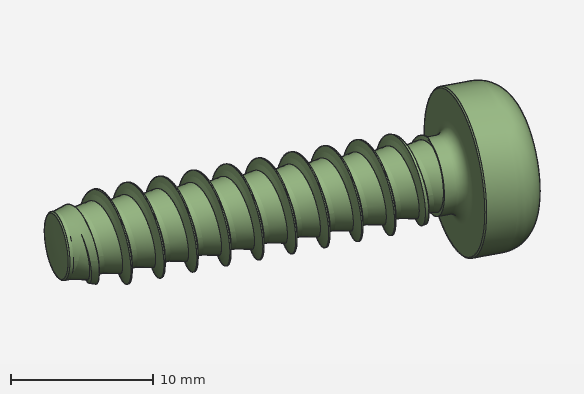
import cadquery as cq

overall_length = 34.9
head_diameter = 12.3
head_height = 4.9
head_round = 2.45
head_edge_chamfer = 0.1

shank_radius = 2.83
shank_length = 1.8
neck_fillet = 0.87

core_radius = 2.48
tip_chamfer = 0.1
tip_cone_height = 0.07

pitch = 2.48
crest_radius = 3.54
crest_half_width = 0.052
flank_break_radius = 3.1
flank_break_half_width = 0.2
head_side_foot = 0.45
tip_side_foot = 0.4
shoulder_radius = 2.72
shoulder_run = 1.25
root_embed = 0.1
turn_gap = 0.07

envelope_radius = 3.7
first_crest_depth = 1.5
run_in_radius = 3.0
run_in_end = 5.25
run_out_start = 25.8
run_out_end = 29.55
lead_in_turns = 1
thread_turns = 13

head_radius = head_diameter / 2
tip_depth = overall_length - head_height
tip_edge_depth = tip_depth - tip_cone_height


def revolve_about_axis(profile):
    return profile.close().revolve(360, (0, 0, 0), (0, 1, 0))


def make_blank():
    """Head, neck fillet, shank, plain core and tip as one revolved outline."""
    half_root = 0.5 ** 0.5
    round_x = head_radius - head_round * (1 - half_root)
    round_y = head_height - head_round * (1 - half_root)
    fillet_x = shank_radius + neck_fillet * (1 - half_root)
    fillet_y = -neck_fillet * (1 - half_root)
    outline = (
        cq.Workplane("XY")
        .moveTo(0, head_height)
        .lineTo(head_radius - head_round, head_height)
        .threePointArc((round_x, round_y), (head_radius, head_height - head_round))
        .lineTo(head_radius, head_edge_chamfer)
        .lineTo(head_radius - head_edge_chamfer, 0)
        .lineTo(shank_radius + neck_fillet, 0)
        .threePointArc((fillet_x, fillet_y), (shank_radius, -neck_fillet))
        .lineTo(shank_radius, -shank_length)
        .lineTo(core_radius, -shank_length)
        .lineTo(core_radius, -tip_edge_depth + tip_chamfer)
        .lineTo(core_radius - tip_chamfer, -tip_edge_depth)
        .lineTo(0, -tip_depth)
    )
    return revolve_about_axis(outline)


def make_ridge():
    """Thread ridge, with the tapered root behind it, swept along a right-hand helix."""
    embed_radius = core_radius - root_embed
    root_slope = (shoulder_radius - core_radius) / shoulder_run
    root_end = pitch - head_side_foot - turn_gap
    root_end_radius = shoulder_radius - root_slope * (root_end - tip_side_foot)
    section = [
        (embed_radius, -head_side_foot),
        (flank_break_radius, -flank_break_half_width),
        (crest_radius, -crest_half_width),
        (crest_radius, crest_half_width),
        (flank_break_radius, flank_break_half_width),
        (shoulder_radius, tip_side_foot),
        (root_end_radius, root_end),
        (embed_radius, root_end),
    ]
    helix = cq.Wire.makeHelix(pitch, pitch * thread_turns, core_radius)
    ridge = cq.Workplane("XZ").polyline(section).close().sweep(cq.Workplane(helix), isFrenet=True)
    start_depth = first_crest_depth - lead_in_turns * pitch
    return (
        ridge
        .rotate((0, 0, 0), (0, 0, 1), 90)
        .rotate((0, 0, 0), (1, 0, 0), 90)
        .translate((0, -start_depth, 0))
    )


def make_thread_envelope():
    """Solid of revolution that limits the thread and shapes its run-in and run-out."""
    outline = (
        cq.Workplane("XY")
        .moveTo(0, -shank_length)
        .lineTo(run_in_radius, -shank_length)
        .lineTo(envelope_radius, -run_in_end)
        .lineTo(envelope_radius, -run_out_start)
        .lineTo(core_radius, -run_out_end)
        .lineTo(0, -run_out_end)
    )
    return revolve_about_axis(outline)


thread = make_ridge().intersect(make_thread_envelope())
result = make_blank().union(thread)